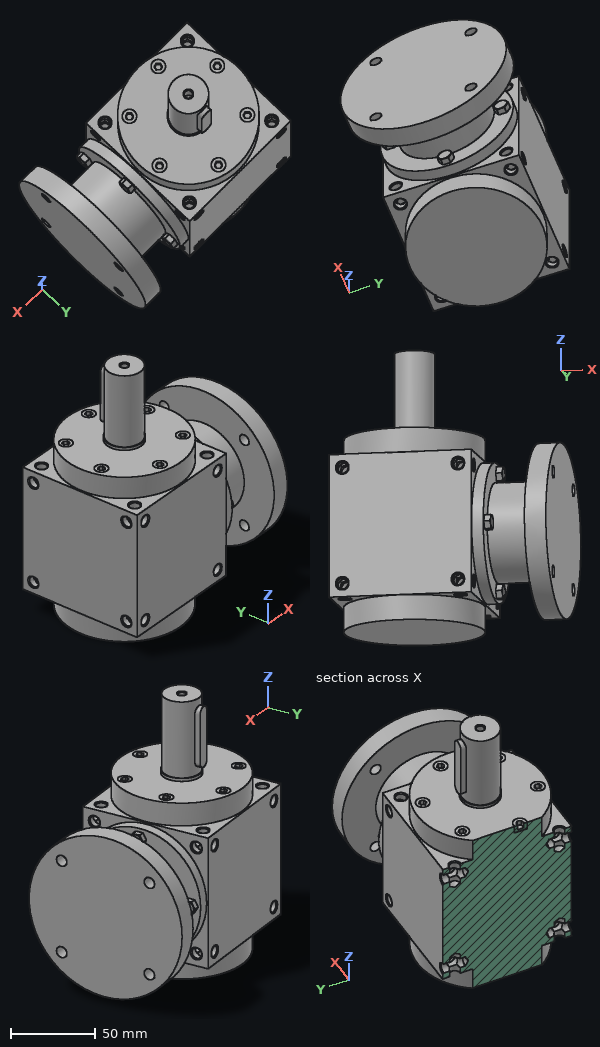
import cadquery as cq
import math


case_side = 86.0
case_half = case_side / 2
cover_diameter = 84.0
cover_height = 15.0
cover_top_z = case_half + cover_height

mount_offset = 35.0
mount_diameter = 6.7
mount_mouth_diameter = 8.0
mount_depth = 15.0
drill_point_angle = 118.0

collar_diameter = 25.0
collar_height = 2.0
shaft_diameter = 24.0
shaft_length = 50.0
shaft_end_z = cover_top_z + collar_height + shaft_length
centre_hole_diameter = 4.9
centre_hole_mouth_diameter = 6.0
centre_hole_depth = 12.6

key_width = 8.0
key_length = 40.0
key_end_gap = 5.0
key_height = 7.0
key_outer_y = 15.0
key_inner_y = key_outer_y - key_height

plate_thickness = 7.0
neck_diameter = 60.0
neck_length = 27.0
flange_diameter = 105.0
flange_thickness = 13.0
flange_hole_diameter = 7.0
flange_hole_offset = 30.0
neck_start_x = case_half + plate_thickness
flange_start_x = neck_start_x + neck_length

bolt_count = 4
bolt_circle_radius = 35.5
bolt_head_flats = 8.4
bolt_end_diameter = 8.0
bolt_head_height = 4.0
bolt_chamfer_angle = 30.0

screw_count = 6
screw_circle_radius = 35.0
screw_first_angle = 15.0
screw_head_diameter = 8.5
screw_head_height = 5.0
socket_flats = 4.0
socket_depth = 3.4


def corners_from_flats(flats):
    """Corner-to-corner width of a regular hexagon with the given width across flats."""
    return flats / math.cos(math.radians(30))


def drilled_hole(diameter, mouth_diameter, depth):
    """Cutter for a hole going down from Z = 0, with a 45-degree mouth and a drill point."""
    radius = diameter / 2
    mouth_radius = mouth_diameter / 2
    point_depth = radius / math.tan(math.radians(drill_point_angle / 2))
    return (
        cq.Workplane("XZ")
        .moveTo(0, 0)
        .lineTo(mouth_radius, 0)
        .lineTo(radius, radius - mouth_radius)
        .lineTo(radius, -depth)
        .lineTo(0, -depth - point_depth)
        .close()
        .revolve(360, (0, 0, 0), (0, 1, 0))
    )


def disc(diameter, thickness, start, plane="XY"):
    """Cylinder centred on the normal of the plane, beginning at the given distance."""
    return cq.Workplane(plane).workplane(offset=start).circle(diameter / 2).extrude(thickness)


def make_case():
    case = cq.Workplane("XY").box(case_side, case_side, case_side)
    return case.union(disc(cover_diameter, case_side + 2 * cover_height, -cover_top_z))


def mounting_holes():
    """Cutters for the square of four holes on each of the six case faces."""
    hole = drilled_hole(mount_diameter, mount_mouth_diameter, mount_depth)
    corners = [(x, y) for x in (-mount_offset, mount_offset) for y in (-mount_offset, mount_offset)]
    top_face = [hole.translate((x, y, case_half)) for x, y in corners]
    cutters = []
    for cutter in top_face:
        for angle in (0, 90, 180, 270):
            cutters.append(cutter.rotate((0, 0, 0), (1, 0, 0), angle))
        for angle in (-90, 90):
            cutters.append(cutter.rotate((0, 0, 0), (0, 1, 0), angle))
    return cutters


def make_shaft():
    collar = disc(collar_diameter, collar_height, cover_top_z)
    journal = disc(shaft_diameter, shaft_length, cover_top_z + collar_height)
    return collar.union(journal)


def shaft_centre_hole():
    hole = drilled_hole(centre_hole_diameter, centre_hole_mouth_diameter, centre_hole_depth)
    return hole.translate((0, 0, shaft_end_z))


def make_key():
    """Upright round-ended bar, its inner part seated in the shaft."""
    centre_z = shaft_end_z - key_end_gap - key_length / 2
    return (
        cq.Workplane("XZ")
        .workplane(offset=-key_inner_y)
        .center(0, centre_z)
        .slot2D(key_length, key_width, 90)
        .extrude(-key_height)
    )


def make_flange():
    plate = disc(cover_diameter, plate_thickness, case_half, "YZ")
    neck = disc(neck_diameter, neck_length, neck_start_x, "YZ")
    flange = (
        cq.Workplane("YZ")
        .workplane(offset=flange_start_x)
        .circle(flange_diameter / 2)
        .extrude(flange_thickness)
        .faces(">X")
        .workplane()
        .rect(2 * flange_hole_offset, 2 * flange_hole_offset, forConstruction=True)
        .vertices()
        .hole(flange_hole_diameter)
    )
    return plate.union(neck).union(flange)


def make_bolt_head():
    """Hexagon head on the X axis with corners towards +Y and -Y and a bevelled outer end."""
    corners = corners_from_flats(bolt_head_flats)
    end_radius = bolt_end_diameter / 2
    corner_radius = corners / 2
    bevel_height = (corner_radius - end_radius) * math.tan(math.radians(bolt_chamfer_angle))
    hexagon = cq.Workplane("YZ").polygon(6, corners).extrude(bolt_head_height)
    bevel = (
        cq.Workplane("XY")
        .moveTo(0, 0)
        .lineTo(0, corner_radius)
        .lineTo(bolt_head_height - bevel_height, corner_radius)
        .lineTo(bolt_head_height, end_radius)
        .lineTo(bolt_head_height, 0)
        .close()
        .revolve(360, (0, 0, 0), (1, 0, 0))
    )
    return hexagon.intersect(bevel)


def bolt_heads():
    """Heads on the bolt circle, all turned the same way."""
    head = make_bolt_head()
    heads = []
    for index in range(bolt_count):
        angle = math.radians(index * 360 / bolt_count)
        y = bolt_circle_radius * math.cos(angle)
        z = bolt_circle_radius * math.sin(angle)
        heads.append(head.translate((neck_start_x, y, z)))
    return heads


def around_shaft(shape):
    """Copies of a shape at the cover screw positions, each turned to face the shaft axis."""
    first = shape.translate((screw_circle_radius, 0, cover_top_z - screw_head_height))
    step = 360 / screw_count
    return [
        first.rotate((0, 0, 0), (0, 0, 1), screw_first_angle + index * step)
        for index in range(screw_count)
    ]


def make_screw():
    """Cylindrical head with a hexagon socket that has a corner pointing along X."""
    socket = (
        cq.Workplane("XY")
        .workplane(offset=screw_head_height - socket_depth)
        .polygon(6, corners_from_flats(socket_flats))
        .extrude(socket_depth)
    )
    return disc(screw_head_diameter, screw_head_height, 0).cut(socket)


def make_gearbox():
    solid_parts = [part.val() for part in (make_flange(), make_shaft(), make_key(), *bolt_heads())]
    screw_recesses = around_shaft(disc(screw_head_diameter, screw_head_height, 0))
    cutters = [cutter.val() for cutter in (*mounting_holes(), *screw_recesses, shaft_centre_hole())]
    return cq.Workplane(make_case().val().fuse(*solid_parts).cut(*cutters))


gearbox = make_gearbox()
cover_screws = around_shaft(make_screw())

result = cq.Compound.makeCompound(
    [gearbox.solids().val(), *[screw.solids().val() for screw in cover_screws]]
)